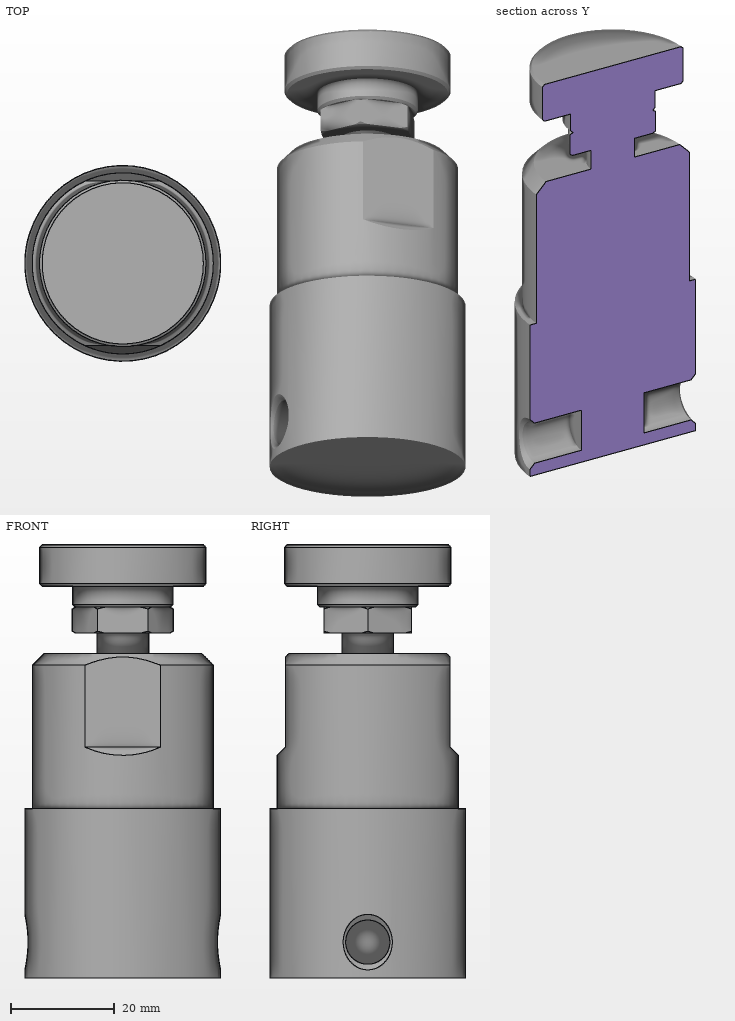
import cadquery as cq
import math

total_height = 83.6
base_height = 32.7
body_top = 62.6
nut_bottom = 66.5
nut_top = 71.5
knob_height = 8.0
knob_bottom = total_height - knob_height

base_diameter = 37.8
body_diameter = 34.9
stem_diameter = 10.0
collar_diameter = 19.4
knob_diameter = 32.1

body_chamfer = 2.25
small_chamfer = 0.5

nut_across_flats = 16.9
nut_across_corners = nut_across_flats / math.cos(math.pi / 6)
nut_face_diameter = 18.2
nut_chamfer_angle = 30.0

flat_spacing = 31.75
flat_bottom = 44.55

port_diameter = 8.5
port_mouth_diameter = 10.7
port_height = 6.9
port_depth = 11.7


def cylinder(diameter, bottom, top):
    return cq.Workplane("XY").workplane(offset=bottom).circle(diameter / 2).extrude(top - bottom)


def make_nut():
    """Hexagon with corners on X, its corners trimmed by a cone at each end."""
    hexagon = (
        cq.Workplane("XY").workplane(offset=nut_bottom)
        .polygon(6, nut_across_corners).extrude(nut_top - nut_bottom)
    )
    trim_width = (nut_across_corners - nut_face_diameter) / 2
    trim_height = trim_width * math.tan(math.radians(nut_chamfer_angle))
    trimmer = (
        cylinder(nut_across_corners, nut_bottom, nut_top)
        .faces("<Z or >Z").edges().chamfer(trim_height, trim_width)
    )
    return hexagon.intersect(trimmer)


def make_flat_cutter(side):
    """Prism leaving a flat on one Y side, with a 45 degree run-out at its foot."""
    flat_y = flat_spacing / 2
    outer_y = base_diameter / 2
    foot_drop = outer_y - flat_y
    return (
        cq.Workplane("YZ")
        .polyline([
            (side * flat_y, body_top),
            (side * flat_y, flat_bottom),
            (side * outer_y, flat_bottom - foot_drop),
            (side * outer_y, body_top),
        ])
        .close()
        .extrude(body_diameter / 2, both=True)
    )


def make_port_cutter(side):
    """Blind radial port on one X side with a 45 degree countersunk mouth."""
    mouth_x = side * base_diameter / 2
    bore_radius = port_diameter / 2
    mouth_radius = port_mouth_diameter / 2
    sink_depth = mouth_radius - bore_radius
    mouth_center = cq.Vector(mouth_x, 0, port_height)
    inward = cq.Vector(-side, 0, 0)
    bore = cq.Solid.makeCylinder(bore_radius, port_depth, mouth_center, inward)
    sink = cq.Solid.makeCone(mouth_radius, bore_radius, sink_depth, mouth_center, inward)
    return cq.Workplane(bore).union(cq.Workplane(sink))


base = cylinder(base_diameter, 0, base_height)
body = cylinder(body_diameter, base_height, body_top).faces(">Z").edges().chamfer(body_chamfer)
stem = cylinder(stem_diameter, body_top, nut_bottom)
collar = cylinder(collar_diameter, nut_top, knob_bottom).faces("<Z").edges().chamfer(small_chamfer)
knob = cylinder(knob_diameter, knob_bottom, total_height).faces("<Z or >Z").edges().chamfer(small_chamfer)

for side in (-1, 1):
    body = body.cut(make_flat_cutter(side))
    base = base.cut(make_port_cutter(side))

result = base.union(body).union(stem).union(make_nut()).union(collar).union(knob)